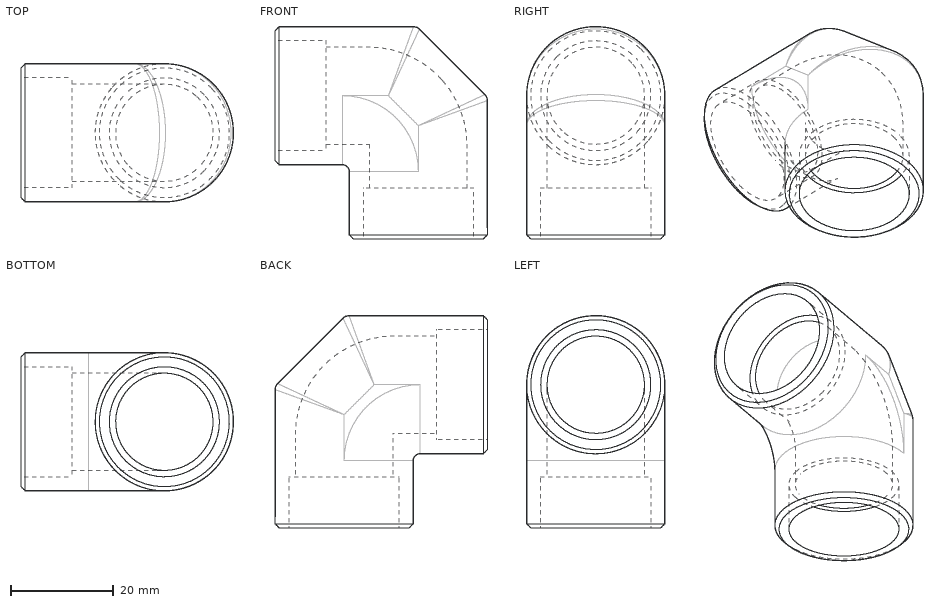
import cadquery as cq

overall_length = 41.5
outer_diameter = 27.0
outer_radius = outer_diameter / 2
end_chamfer = 0.85

throat_radius = 1.3
bevel_setback = 5.85
mitre_fillet = 1.65

bore_diameter = 19.0
socket_diameter = 21.5
socket_depth = 9.95
bore_throat_radius = 0.2

leg_length = overall_length - outer_radius
bend_radius = outer_radius + throat_radius
bore_bend_radius = bore_diameter / 2 + bore_throat_radius


def inlet_plane():
    """Plane on the -X inlet face: local x is +Y, local y is +Z, normal is +X."""
    return cq.Workplane(cq.Plane((-leg_length, 0, 0), (0, 1, 0), (1, 0, 0)))


def axis_start():
    return cq.Workplane("XZ").moveTo(-leg_length, 0)


def add_round_bend(path, radius):
    """Continue a path along the -X leg through a round bend into the -Z leg."""
    middle = radius * (0.5**0.5 - 1)
    return path.threePointArc((middle, middle), (0, -radius))


def bent_path(radius):
    """Inlet-to-inlet axis with a round bend of the given radius."""
    path = axis_start().lineTo(-radius, 0)
    return add_round_bend(path, radius).lineTo(0, -leg_length)


def half_disc(apex):
    """Half of the outer section, lying on the side of the given apex height."""
    return inlet_plane().moveTo(-outer_radius, 0).threePointArc((0, apex), (outer_radius, 0)).close()


def outer_half():
    """Mitred half tube along the outside of the elbow, with softened mitres."""
    path = axis_start().lineTo(-bevel_setback, 0).lineTo(0, -bevel_setback).lineTo(0, -leg_length)
    return half_disc(outer_radius).sweep(path, transition="right")


def inner_half():
    """Smooth half tube along the inside of the elbow."""
    return half_disc(-outer_radius).sweep(bent_path(bend_radius))


def flat_web():
    """Flat-sided block between the round axis and the bevelled axis."""
    outline = axis_start().moveTo(-bevel_setback, 0).lineTo(-bend_radius, 0)
    outline = add_round_bend(outline, bend_radius)
    outline = outline.lineTo(0, -bevel_setback).close()
    return outline.extrude(outer_radius, both=True)


def bore():
    """Round bore with a tight bend and a wider socket in each inlet."""
    passage = inlet_plane().circle(bore_diameter / 2).sweep(bent_path(bore_bend_radius))
    side_socket = inlet_plane().circle(socket_diameter / 2).extrude(socket_depth)
    bottom_socket = (
        cq.Workplane("XY", origin=(0, 0, -leg_length)).circle(socket_diameter / 2).extrude(socket_depth)
    )
    return passage.union(side_socket).union(bottom_socket)


def soften_mitres(body):
    """Round the two outside mitre edges."""
    mitre_apex = bevel_setback - outer_radius * (2**0.5 - 1)
    side_mitre = cq.NearestToPointSelector((-mitre_apex, 0, outer_radius))
    bottom_mitre = cq.NearestToPointSelector((outer_radius, 0, -mitre_apex))
    return body.edges(side_mitre + bottom_mitre).fillet(mitre_fillet)


body = outer_half().union(inner_half()).union(flat_web())
body = body.faces("<X or <Z").edges().chamfer(end_chamfer)
body = soften_mitres(body)
result = body.cut(bore())